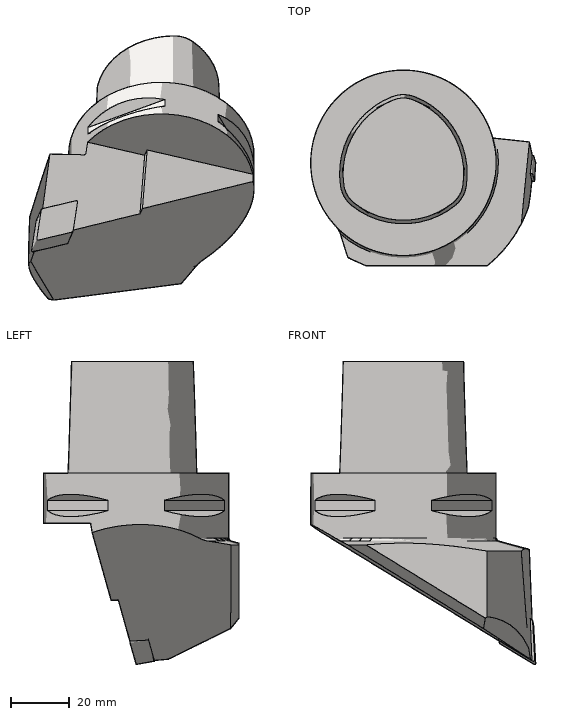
import cadquery as cq
import math

collar_radius = 31.5
collar_back_bottom = -17.1

shank_height = 37.9
shank_taper = math.degrees(math.atan(1 / 32))
lobe_reach = 23.2
side_reach = 20.7
lobe_radius = 10.5

slot_count = 4
slot_center_z = -11.0
slot_floor_distance = 28.0
slot_floor_width = 3.5
slot_mouth_width = 7.6

head_radius = 45.1
head_front_y = -35
neck_z = -22.9
neck_fillet = 1.0
shoulder_angle = 15
head_blank_bottom = -72.1

underside_start_z = -17.5
underside_slope_x = -0.617
underside_slope_y = -0.028

rake_slope_x = -0.061
rake_slope_z = 0.18
lower_rake_offset = 14.4
upper_rake_offset = 16.9
rake_step_x = 9.9

side_offset = 40.6
side_slope_y = 0.1
side_slope_z = -0.058

insert_tip_x = 45.0
insert_tip_z = -65.4
insert_edge = 14.6
insert_tip_angle = 55
insert_side_lean = 93.7
insert_thickness = 6.4
insert_tip_radius = 0.4

oversize = 309


def space_beyond(point, normal):
    """Large block filling the side of a plane that its normal points to."""
    plane = cq.Plane(origin=point, normal=normal)
    return cq.Workplane(plane).rect(oversize, oversize).extrude(oversize)


def space_beyond_points(a, b, c):
    """Large block beyond the plane through three points, facing by the right-hand rule."""
    start = cq.Vector(*a)
    normal = (cq.Vector(*b) - start).cross(cq.Vector(*c) - start)
    return space_beyond(a, normal.toTuple())


def underside_z(x, y):
    return underside_start_z + underside_slope_x * (x + collar_radius) + underside_slope_y * y


def polar(radius, degrees):
    angle = math.radians(degrees)
    return (radius * math.cos(angle), radius * math.sin(angle))


def make_shank():
    """Three small lobe arcs joined tangentially by three large side arcs."""
    lobe_center = lobe_reach - lobe_radius
    radius_gap = side_reach - lobe_radius
    side_center = (lobe_center**2 - radius_gap**2) / (2 * radius_gap - lobe_center)
    side_radius = side_reach + side_center
    join_angle = math.atan2(
        lobe_center * math.sin(math.radians(60)),
        side_center + lobe_center * math.cos(math.radians(60)),
    )
    join_x = side_radius * math.sin(join_angle)
    join_y = side_center - side_radius * math.cos(join_angle)
    join_radius = math.hypot(join_x, join_y)
    join_offset = math.degrees(math.atan2(join_x, -join_y))

    outline = cq.Workplane("XY").moveTo(*polar(join_radius, -90 - join_offset))
    for side_direction in (-90, 30, 150):
        lobe_direction = side_direction + 60
        outline = outline.threePointArc(
            polar(side_reach, side_direction),
            polar(join_radius, side_direction + join_offset),
        )
        outline = outline.threePointArc(
            polar(lobe_reach, lobe_direction),
            polar(join_radius, lobe_direction + 60 - join_offset),
        )
    return outline.close().extrude(shank_height, taper=shank_taper)


def make_turned_blank():
    """Collar and head turned about Z, with a filleted neck above a conical shoulder."""
    slope = math.radians(shoulder_angle)
    setback = neck_fillet * math.tan((math.pi / 2 - slope) / 2)
    fillet_end = (collar_radius + setback * math.cos(slope), neck_z - setback * math.sin(slope))
    shoulder_edge_z = neck_z - (head_radius - collar_radius) * math.tan(slope)
    return (
        cq.Workplane("XZ")
        .lineTo(collar_radius, 0)
        .lineTo(collar_radius, neck_z + setback)
        .tangentArcPoint(fillet_end, relative=False)
        .lineTo(head_radius, shoulder_edge_z)
        .lineTo(head_radius, head_blank_bottom)
        .lineTo(0, head_blank_bottom)
        .close()
        .revolve(360, (0, 0, 0), (0, 1, 0))
    )


def cut_rake_faces(body):
    """Stepped rake face behind the head; the collar above it stays whole."""
    normal = (-rake_slope_x, 1, -rake_slope_z)
    upper = space_beyond((0, upper_rake_offset, 0), normal)
    lower = space_beyond((0, lower_rake_offset, 0), normal)
    lower = lower.intersect(space_beyond((rake_step_x, 0, 0), (1, 0, 0)))
    below_collar = space_beyond((0, 0, collar_back_bottom), (0, 0, -1))
    return body.cut(upper.intersect(below_collar)).cut(lower.intersect(below_collar))


def cut_flat_faces(body):
    body = body.cut(space_beyond((0, head_front_y, 0), (0, -1, 0)))
    underside_point = (0, 0, underside_z(0, 0))
    body = body.cut(space_beyond(underside_point, (underside_slope_x, underside_slope_y, -1)))
    side = space_beyond((side_offset, 0, 0), (1, -side_slope_y, -side_slope_z))
    below_neck = space_beyond((0, 0, neck_z), (0, 0, -1))
    return body.cut(side.intersect(below_neck))


def cut_edge_bevels(body):
    """Bevel along the front of the underside and a facet under the outer corner."""
    bevel_inner_y = -32.1
    corner_x = 27.2
    bevel_top = (-12.2, head_front_y, -24.7)
    bevel_bottom = (27.1, head_front_y, -48.8)
    corner = (corner_x, bevel_inner_y, underside_z(corner_x, bevel_inner_y))
    body = body.cut(space_beyond_points(bevel_top, corner, bevel_bottom))

    facet_end_x = 42.0
    facet_end_y = -12.5
    facet_top = (28.4, head_front_y, -48.8)
    facet_end = (facet_end_x, facet_end_y, underside_z(facet_end_x, facet_end_y))
    return body.cut(space_beyond_points(corner, facet_end, facet_top))


def make_slot(direction):
    """Straight slot with a flat floor and flared sides, cut across the collar."""
    flare = (slot_mouth_width - slot_floor_width) / 2 / (collar_radius - slot_floor_distance)
    slot_depth = 2 * (collar_radius - slot_floor_distance)
    outer = slot_floor_distance + slot_depth
    outer_half = slot_floor_width / 2 + flare * slot_depth
    return (
        cq.Workplane("XZ")
        .moveTo(slot_floor_distance, slot_center_z - slot_floor_width / 2)
        .lineTo(outer, slot_center_z - outer_half)
        .lineTo(outer, slot_center_z + outer_half)
        .lineTo(slot_floor_distance, slot_center_z + slot_floor_width / 2)
        .close()
        .extrude(collar_radius, both=True)
        .rotate((0, 0, 0), (0, 0, 1), direction)
    )


def make_insert():
    """Rhombic plate whose top lies in the lower rake face and whose tip overhangs the head."""
    tip_y = lower_rake_offset + rake_slope_x * insert_tip_x + rake_slope_z * insert_tip_z
    plane = cq.Plane(
        origin=(insert_tip_x, tip_y, insert_tip_z),
        xDir=(1, rake_slope_x, 0),
        normal=(rake_slope_x, -1, rake_slope_z),
    )
    side_x, side_y = polar(insert_edge, insert_side_lean)
    bottom_x, bottom_y = polar(insert_edge, insert_side_lean + insert_tip_angle)
    return (
        cq.Workplane(plane)
        .lineTo(side_x, side_y)
        .lineTo(side_x + bottom_x, side_y + bottom_y)
        .lineTo(bottom_x, bottom_y)
        .close()
        .extrude(insert_thickness)
        .edges(cq.selectors.ParallelDirSelector(plane.zDir))
        .fillet(insert_tip_radius)
    )


insert = make_insert()

holder = cut_edge_bevels(cut_flat_faces(cut_rake_faces(make_turned_blank())))
for index in range(slot_count):
    holder = holder.cut(make_slot(45 + index * 360 / slot_count))
holder = holder.union(make_shank()).cut(insert)

result = cq.Compound.makeCompound([holder.val(), insert.val()])